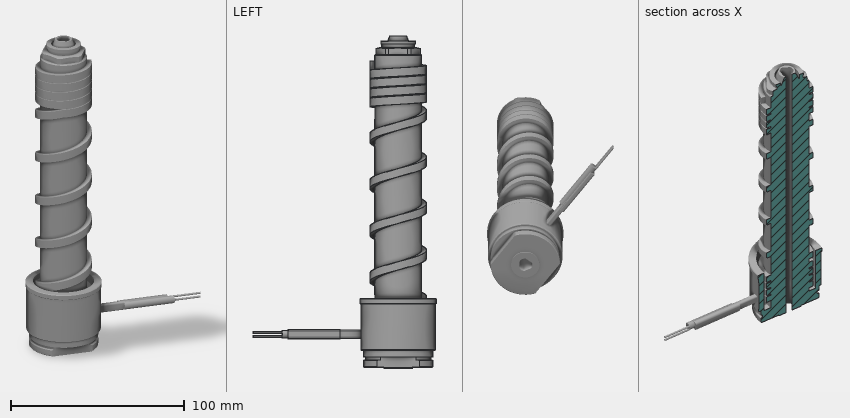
import cadquery as cq
import math


foot_radius = 8.2
foot_top = 0.6
base_radius = 20.0
base_chamfer = 0.4
base_flat_width = 31.7
base_top = 4.8
base_neck_radius = 18.9
base_neck_top = 6.6
ring_radius = 20.0
ring_top = 10.2
body_radius = 21.5
body_chamfer = 0.6
body_top = 37.0
cap_radius = 22.0
cap_chamfer = 0.4
cap_top = 40.2

tube_radius = 13.5
tube_chamfer = 0.5
tube_top = 180.6
hex_width = 23.4
hex_corner_radius = 12.9
hex_edge_top = 184.0
hex_top = 184.7
collar_radius = 9.5
collar_top = 186.6
rim_radius = 10.0
rim_inner_radius = 7.1
rim_top = 188.4
tip_groove_bottom = 185.3
tip_radius = 4.9
tip_top = 191.3
bore_radius = 4.1
bore_flat_distance = 3.4

coil_outer_radius = 16.3
coil_overlap = 0.3
coil_height = 4.8
closed_pitch = 5.4
open_pitch = 26.8
open_turns = 4.32
closed_turns = 4.29
coil_end_angle = 84.6
coil_top = 176.9
recess_radius = 17.6
floor_gap = 0.2

lead_x = -1.4
lead_z = 19.6
lead_root = 19.0
strap_size = (3.1, 5.0)
strap_x = -0.8
strap_fillet = 0.9
strap_end = 40.0
sheath_size = (3.4, 5.4)
sheath_fillet = 1.2
sheath_start = 33.4
sheath_end = 63.3
sleeve_x = 0.1
sleeve_radius = 2.25
sleeve_start = 36.5
sleeve_end = 66.8
wire_radius = 0.6
wire_spacing = 2.3
lead_end = 83.5

closed_rise = closed_turns * closed_pitch
open_rise = open_turns * open_pitch
upper_coil_start = coil_top - coil_height - closed_rise
open_coil_start = upper_coil_start - open_rise
lower_coil_start = open_coil_start - closed_rise
recess_floor = lower_coil_start - floor_gap


def disc(radius, bottom, top):
    return cq.Workplane("XY").workplane(offset=bottom).circle(radius).extrude(top - bottom)


def across_flats_block(width, bottom, top):
    """Block that limits a round section to two flats facing -X and +X."""
    length = 2 * cap_radius
    return cq.Workplane("XY").workplane(offset=bottom).rect(width, length).extrude(top - bottom)


def make_housing():
    base = disc(base_radius, foot_top, base_top).edges().chamfer(base_chamfer)
    base = base.union(disc(base_neck_radius, base_top - base_chamfer, base_neck_top))
    base = base.intersect(across_flats_block(base_flat_width, foot_top, base_neck_top))
    body = disc(body_radius, ring_top, body_top).faces("<Z").edges().chamfer(body_chamfer)
    cap = disc(cap_radius, body_top, cap_top).edges().chamfer(cap_chamfer)
    housing = disc(foot_radius, 0, base_top).union(base)
    housing = housing.union(disc(ring_radius, base_neck_top, ring_top)).union(body).union(cap)
    return housing.cut(disc(recess_radius, recess_floor, cap_top))


def make_hex():
    """Hex with its corners turned round and its top edge bevelled."""
    turned = (
        cq.Workplane("XZ")
        .moveTo(0, tube_top)
        .lineTo(hex_corner_radius, tube_top)
        .lineTo(hex_corner_radius, hex_edge_top)
        .lineTo(rim_radius, hex_top)
        .lineTo(0, hex_top)
        .close()
        .revolve(360, (0, 0, 0), (0, 1, 0))
    )
    across_corners = hex_width / math.cos(math.pi / 6)
    prism = (
        cq.Workplane("XY")
        .workplane(offset=tube_top)
        .transformed(rotate=(0, 0, 30))
        .polygon(6, across_corners)
        .extrude(hex_top - tube_top)
    )
    return turned.intersect(prism)


def make_tip():
    """Collar, rim and cone, with a V-shaped ring groove between rim and cone."""
    return (
        cq.Workplane("XZ")
        .moveTo(0, hex_top)
        .lineTo(collar_radius, hex_top)
        .lineTo(collar_radius, collar_top)
        .lineTo(rim_radius, collar_top)
        .lineTo(rim_radius, rim_top)
        .lineTo(rim_inner_radius, rim_top)
        .lineTo(rim_inner_radius, tip_groove_bottom)
        .lineTo(tip_radius, tip_top)
        .lineTo(0, tip_top)
        .close()
        .revolve(360, (0, 0, 0), (0, 1, 0))
    )


def make_tube():
    tube = disc(tube_radius, base_neck_top, tube_top).faces(">Z").edges().chamfer(tube_chamfer)
    return tube.union(make_hex()).union(make_tip())


def make_bore():
    """Through bore: a circle cut by three flats, one of them facing +Y."""
    triangle_diameter = 4 * bore_flat_distance
    triangle = (
        cq.Workplane("XY")
        .transformed(rotate=(0, 0, -90))
        .polygon(3, triangle_diameter)
        .extrude(tip_top)
    )
    return triangle.intersect(disc(bore_radius, 0, tip_top))


def coil_section(pitch, turns, start_height, start_angle):
    inner_radius = tube_radius - coil_overlap
    width = coil_outer_radius - inner_radius
    path = cq.Wire.makeHelix(pitch, pitch * turns, inner_radius)
    section = (
        cq.Workplane("XZ")
        .center(inner_radius + width / 2, coil_height / 2)
        .rect(width, coil_height)
        .sweep(path, isFrenet=True)
    )
    return section.rotate((0, 0, 0), (0, 0, 1), start_angle).translate((0, 0, start_height))


def make_coil_sections():
    """Closed turns at both ends and open turns between them, joined end to end."""
    upper_angle = coil_end_angle - 360 * closed_turns
    open_angle = upper_angle - 360 * open_turns
    lower_angle = open_angle - 360 * closed_turns
    return [
        coil_section(closed_pitch, closed_turns, lower_coil_start, lower_angle),
        coil_section(open_pitch, open_turns, open_coil_start, open_angle),
        coil_section(closed_pitch, closed_turns, upper_coil_start, upper_angle),
    ]


def rounded_bar(size, x, start, end, fillet):
    width, height = size
    length = end - start
    bar = cq.Workplane("XY").box(width, length, height).edges("|Y").fillet(fillet)
    return bar.translate((x, start + length / 2, lead_z))


def rod(radius, x, z, start, end):
    return cq.Workplane("XZ", origin=(x, start, z)).circle(radius).extrude(start - end)


def make_lead():
    lead = rounded_bar(strap_size, strap_x, lead_root, strap_end, strap_fillet)
    lead = lead.union(rounded_bar(sheath_size, lead_x, sheath_start, sheath_end, sheath_fillet))
    lead = lead.union(rod(sleeve_radius, sleeve_x, lead_z, sleeve_start, sleeve_end))
    for side in (-1, 1):
        wire_z = lead_z + side * wire_spacing / 2
        lead = lead.union(rod(wire_radius, lead_x, wire_z, sleeve_end, lead_end))
    return lead


nozzle = make_housing().union(make_tube())
for coil in make_coil_sections():
    nozzle = nozzle.union(coil)
result = nozzle.union(make_lead()).cut(make_bore())